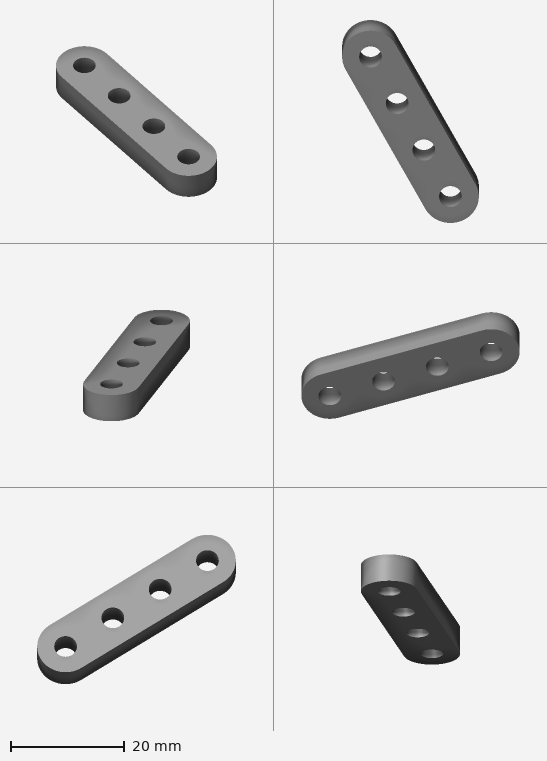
import cadquery as cq

length = 40.0
width = 10.0
thickness = 5.0
hole_diameter = 4.0
hole_count = 4

hole_pitch = (length - width) / (hole_count - 1)

bar = cq.Workplane("XY").slot2D(length, width).extrude(thickness / 2, both=True)

result = (
    bar.faces(">Z")
    .workplane()
    .rarray(hole_pitch, width, hole_count, 1)
    .hole(hole_diameter)
)